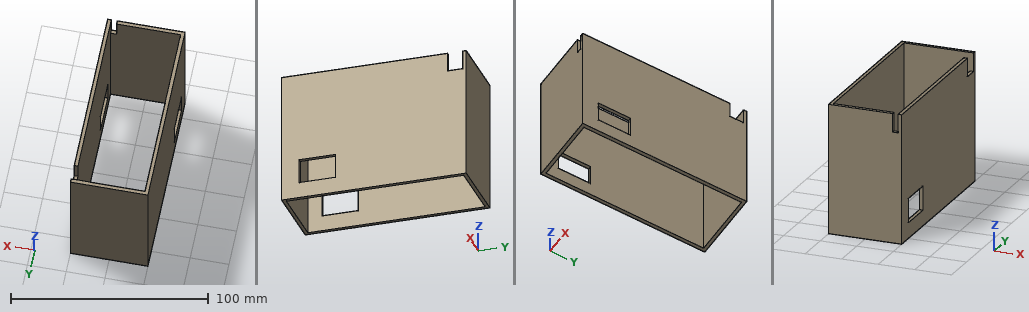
import cadquery as cq

width = 40.0
length = 98.0
height = 70.0
wall = 2.0

window_length = 19.2
window_height = 13.0
window_front_gap = 9.4
window_bottom_gap = 8.5

front_notch_width = 3.0
front_notch_depth = 10.0

side_notch_length = 8.0
side_notch_depth = 10.0

cut_margin = 1.0


def box_from_corner(size_x, size_y, size_z, corner):
    """Box extending in +X, +Y and +Z from its lowest corner."""
    return cq.Workplane("XY").box(size_x, size_y, size_z, centered=False).translate(corner)


def make_sleeve():
    """Rectangular tube, open at top and bottom, with a corner at the origin."""
    outer = box_from_corner(width, length, height, (0, 0, 0))
    cavity = box_from_corner(
        width - 2 * wall, length - 2 * wall, height + 2 * cut_margin, (wall, wall, -cut_margin)
    )
    return outer.cut(cavity)


def make_window_cutter():
    """Bar crossing both long walls."""
    corner = (-cut_margin, window_front_gap, window_bottom_gap)
    return box_from_corner(width + 2 * cut_margin, window_length, window_height, corner)


def make_front_notch_cutter():
    """Block crossing the front wall, flush with the inner face of the +X wall."""
    corner = (width - wall - front_notch_width, -cut_margin, height - front_notch_depth)
    return box_from_corner(
        front_notch_width, wall + cut_margin, front_notch_depth + cut_margin, corner
    )


def make_side_notch_cutter():
    """Block crossing the +X wall, flush with the inner face of the back wall."""
    corner = (width - wall, length - wall - side_notch_length, height - side_notch_depth)
    return box_from_corner(
        wall + cut_margin, side_notch_length, side_notch_depth + cut_margin, corner
    )


result = (
    make_sleeve()
    .cut(make_window_cutter())
    .cut(make_front_notch_cutter())
    .cut(make_side_notch_cutter())
    .translate((-width / 2, -length / 2, 0))
)